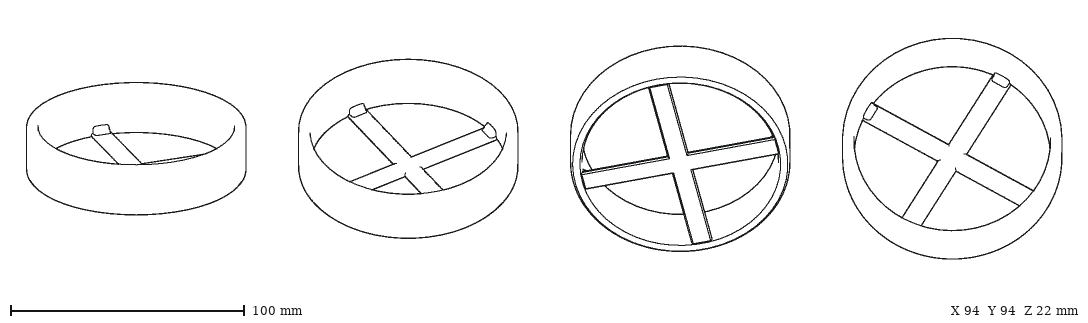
import cadquery as cq

outer_diameter = 94.0
inner_diameter = 84.0
height = 22.0
edge_size = 0.9
bevel_blend_radius = 1.1

spoke_width = 8.9
spoke_thickness = 2.0
spoke_bevel = 0.7

wedge_size = 3.1
wedge_width = 7.4
wedge_edge_radius = 1.0
wall_overlap = 0.9

inner_radius = inner_diameter / 2
spoke_length = inner_diameter + 2 * wall_overlap


def make_ring():
    ring = cq.Workplane("XY").circle(outer_diameter / 2).circle(inner_radius).extrude(height)
    ring = ring.faces(">Z").edges().fillet(edge_size)
    ring = ring.faces("<Z").edges().chamfer(edge_size)
    corner_band = cq.selectors.BoxSelector(
        (-outer_diameter, -outer_diameter, edge_size / 2),
        (outer_diameter, outer_diameter, edge_size * 1.5),
        boundingbox=True,
    )
    return ring.edges(corner_band).fillet(bevel_blend_radius)


def make_cross():
    along_x = cq.Workplane("XY").rect(spoke_length, spoke_width).extrude(spoke_thickness)
    along_y = cq.Workplane("XY").rect(spoke_width, spoke_length).extrude(spoke_thickness)
    cross = along_x.union(along_y)
    cross = cross.faces(">Z").edges().fillet(edge_size)
    return cross.faces("<Z").edges().chamfer(spoke_bevel)


def make_wedge():
    """Sloped block at the +X end of a spoke, rounded along both sides of its slope."""
    outer_end = inner_radius + wall_overlap
    tip = inner_radius - wedge_size
    base = spoke_thickness - edge_size
    profile = [
        (tip, base),
        (tip, spoke_thickness),
        (inner_radius, spoke_thickness + wedge_size),
        (outer_end, spoke_thickness + wedge_size),
        (outer_end, base),
    ]
    wedge = (
        cq.Workplane("XZ")
        .polyline(profile)
        .close()
        .extrude(wedge_width / 2, both=True)
    )
    slope_sides = wedge.faces(cq.selectors.DirectionMinMaxSelector(cq.Vector(-1, 0, 1)))
    return slope_sides.edges("#Y").edges("not(|X or |Z)").fillet(wedge_edge_radius)


result = make_ring().union(make_cross())
for quarter in range(4):
    wedge = make_wedge().rotate((0, 0, 0), (0, 0, 1), 90 * quarter)
    result = result.union(wedge)